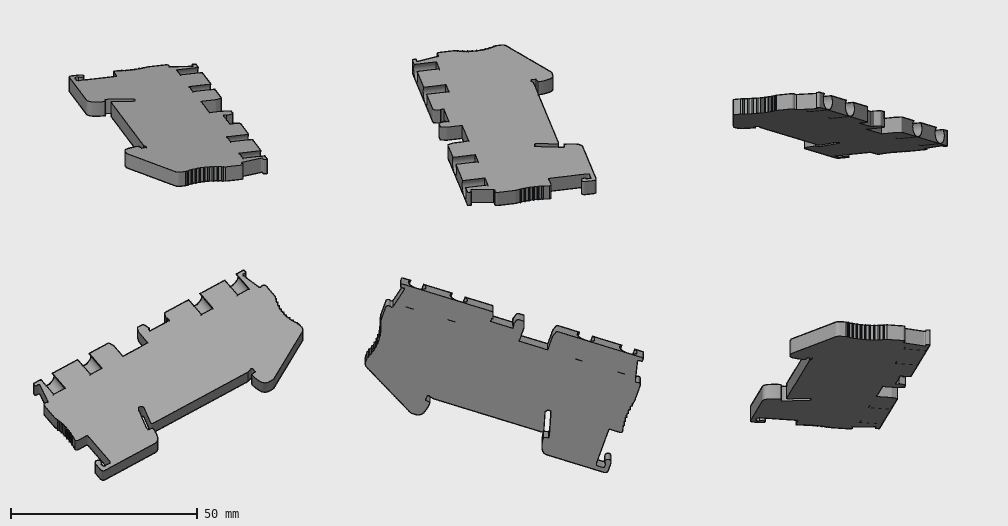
import cadquery as cq
import math

length = 72.2
height = 35.2
thickness = 4.2

mirror_x = 36.0
shoulder_y = 28.45
shoulder_radius = 0.7
latch_tip_x = 1.7
latch_underside_y = 34.15
latch_root_x = 3.0
latch_foot_x = 1.65
latch_foot_y = 28.1
dip_x = 1.3
dip_y = 27.8
latch_radius = 0.3
latch_tip_radius = 0.2
dip_radius = 0.15

wide_notch_left = 26.9
wide_notch_right = 35.0
wide_notch_floor = 29.3
flare_width = 0.6
flare_y = 33.6
flare_radius = 0.7
mouth_radius = 0.2

narrow_notch_left = 37.8
narrow_notch_right = 44.1
narrow_notch_floor = 32.35
snap_step = 0.35
snap_step_y = 33.2
snap_taper = 0.65
snap_radius = 0.6

rail_y = 5.9
foot_side_y = 3.3
foot_top_y = 4.6
left_foot_x = 19.8
right_foot_x = 52.0
foot_claw_y = 4.9
foot_lean = 17.0
foot_side_radius = 7.2
foot_radius = 2.0

recess_start_x = 51.6
recess_wall_x = 53.35
recess_top_y = 6.5
recess_radius = 0.3

slot_end_x = 20.95
slot_end_y = 11.8
slot_radius = 0.8
slot_slant = 15.0
slot_base_x = 18.5
slot_mouth_radius = 0.5

hook_x = 0.2
hook_neck_x = 1.5
hook_wall_x = 3.9
hook_floor_y = 1.3
hook_ball_x = 1.1
hook_ball_y = 3.2
hook_ball_radius = 0.9
ledge_y = 12.5
hook_heel_radius = 0.9
hook_floor_radius = 0.4
ledge_root_radius = 0.3
ledge_tip_radius = 0.65

ramp_start_x = 55.9
ramp_angle = 30.0
ramp_start_radius = 1.6
ramp_end_radius = 1.4

grip_y = 17.3
left_grip_depth = 0.7
left_grip_radius = 18.05
lip_y = 13.6
right_grip_depth = 1.4
right_grip_radius = 12.3
ridge_pitch = 1.2
ridge_height = 0.3
ridge_width = 0.4
left_ridges = range(-2, 4)
right_ridges = range(-4, 5)

groove_centers = (6.1, 18.05, 54.15, 65.9)
groove_length = 6.15
groove_radius = 2.45
groove_axis_depth = 1.65
groove_floor_thickness = 0.15


def rounded_outline(corners):
    """Closed outline through (x, y, radius) corners; radius 0 keeps a corner sharp."""
    outline = None
    for index, (x, y, radius) in enumerate(corners):
        before = corners[index - 1]
        after = corners[(index + 1) % len(corners)]
        corner = cq.Vector(x, y)
        to_before = (cq.Vector(before[0], before[1]) - corner).normalized()
        to_after = (cq.Vector(after[0], after[1]) - corner).normalized()
        half_angle = to_before.getAngle(to_after) / 2
        setback = radius / math.tan(half_angle)
        start = corner + to_before * setback
        if outline is None:
            outline = cq.Workplane("XY").moveTo(start.x, start.y)
        else:
            outline = outline.lineTo(start.x, start.y)
        if radius > 0:
            end = corner + to_after * setback
            bisector = (to_before + to_after).normalized()
            middle = corner + bisector * (radius / math.sin(half_angle) - radius)
            outline = outline.threePointArc((middle.x, middle.y), (end.x, end.y))
    return outline.close()


def mirrored(corners):
    """The same corners on the other half, listed in travel order."""
    return [(2 * mirror_x - x, y, radius) for x, y, radius in reversed(corners)]


def upper_left_corners():
    """Latch hook above the left shoulder, from the shoulder dip up."""
    return [
        (dip_x, dip_y, dip_radius),
        (latch_foot_x, latch_foot_y, 0),
        (latch_root_x, latch_underside_y, latch_radius),
        (latch_tip_x, latch_underside_y, latch_tip_radius),
        (latch_tip_x, height, latch_radius),
    ]


def upper_notch_corners():
    """Wide notch, post, and narrow notch with snap steps, from left to right."""
    left_snap_x = narrow_notch_left + snap_step
    right_snap_x = narrow_notch_right - snap_step
    return [
        (wide_notch_left - flare_width, height, mouth_radius),
        (wide_notch_left, flare_y, flare_radius),
        (wide_notch_left, wide_notch_floor, 0),
        (wide_notch_right, wide_notch_floor, 0),
        (wide_notch_right, flare_y, flare_radius),
        (wide_notch_right + flare_width, height, mouth_radius),
        (left_snap_x - snap_taper, height, snap_radius),
        (left_snap_x, snap_step_y, 0),
        (narrow_notch_left, snap_step_y, 0),
        (narrow_notch_left, narrow_notch_floor, 0),
        (narrow_notch_right, narrow_notch_floor, 0),
        (narrow_notch_right, snap_step_y, 0),
        (right_snap_x, snap_step_y, 0),
        (right_snap_x + snap_taper, height, snap_radius),
    ]


def lower_right_corners():
    """Ramp and right foot, from the right side to the rail edge."""
    ramp_end_y = (length - ramp_start_x) * math.tan(math.radians(ramp_angle))
    lean = math.tan(math.radians(foot_lean))
    return [
        (length, ramp_end_y, ramp_end_radius),
        (ramp_start_x, 0, ramp_start_radius),
        (right_foot_x + lean * foot_side_y, 0, foot_radius),
        (right_foot_x, foot_side_y, foot_side_radius),
        (right_foot_x, foot_top_y, 0),
        (recess_wall_x, foot_claw_y, 0),
        (recess_wall_x, recess_top_y, recess_radius),
        (recess_start_x, rail_y, 0),
    ]


def flex_slot_corners():
    """Slot sides from the rail edge up to the slot end and back, without the round end."""
    slant = math.radians(slot_slant)
    across = (slot_radius * math.cos(slant), -slot_radius * math.sin(slant))
    right_end = (slot_end_x + across[0], slot_end_y + across[1])
    left_end = (slot_end_x - across[0], slot_end_y - across[1])
    right_base_x = right_end[0] - (right_end[1] - rail_y) * math.tan(slant)
    left_base_y = left_end[1] - (left_end[0] - slot_base_x) / math.tan(slant)
    return [
        (right_base_x, rail_y, slot_mouth_radius),
        (right_end[0], right_end[1], 0),
        (left_end[0], left_end[1], 0),
        (slot_base_x, left_base_y, 0),
    ]


def lower_left_corners():
    """Left foot, hook recess and ledge, from the flex slot to the left side."""
    lean = math.tan(math.radians(foot_lean))
    return [
        (slot_base_x, foot_claw_y, 0),
        (left_foot_x, foot_top_y, 0),
        (left_foot_x, foot_side_y, foot_side_radius),
        (left_foot_x - lean * foot_side_y, 0, foot_radius),
        (hook_x, 0, hook_heel_radius),
        (hook_x, hook_ball_y, 0),
        (hook_neck_x, hook_ball_y, 0),
        (hook_neck_x, hook_floor_y, hook_floor_radius),
        (hook_wall_x, hook_floor_y, hook_floor_radius),
        (hook_wall_x, ledge_y, ledge_root_radius),
        (hook_x, ledge_y, ledge_tip_radius),
        (hook_x, lip_y, 0),
        (0, lip_y, 0),
    ]


def disc(x, y, radius):
    """Full-thickness cylinder standing at (x, y)."""
    return cq.Workplane("XY").center(x, y).circle(radius).extrude(thickness)


def add_grip(body, bottom_x, center_x, radius, ridges):
    """Hollow one end with a cylinder, then raise the ridges from the hollow."""
    outward = math.copysign(1, center_x - bottom_x)
    body = body.cut(disc(center_x, grip_y, radius))
    for step in ridges:
        offset = step * ridge_pitch
        surface_x = center_x - outward * math.sqrt(radius**2 - offset**2)
        ridge = (
            cq.Workplane("XY")
            .moveTo(surface_x + outward * ridge_height, grip_y + offset)
            .lineTo(surface_x - outward * ridge_height, grip_y + offset + ridge_width)
            .lineTo(surface_x - outward * ridge_height, grip_y + offset - ridge_width)
            .close()
            .extrude(thickness)
        )
        body = body.union(ridge)
    return body


def wire_groove(center_x):
    """Horizontal round channel with a flat floor, running in from the upper edge."""
    channel = (
        cq.Workplane("XZ", origin=(center_x, height, thickness - groove_axis_depth))
        .circle(groove_radius)
        .extrude(groove_length)
    )
    above_floor = (
        cq.Workplane("XY", origin=(center_x, height, groove_floor_thickness))
        .rect(2 * groove_radius, 2 * groove_length)
        .extrude(thickness)
    )
    return channel.intersect(above_floor)


outline = rounded_outline(
    [(0, shoulder_y, shoulder_radius)]
    + upper_left_corners()
    + upper_notch_corners()
    + mirrored(upper_left_corners())
    + [(length, shoulder_y, shoulder_radius)]
    + lower_right_corners()
    + flex_slot_corners()
    + lower_left_corners()
)
result = outline.extrude(thickness)
result = result.cut(disc(slot_end_x, slot_end_y, slot_radius))
result = result.union(disc(hook_ball_x, hook_ball_y, hook_ball_radius))

result = add_grip(result, left_grip_depth, left_grip_depth - left_grip_radius, left_grip_radius, left_ridges)
right_grip_x = length - right_grip_depth
result = add_grip(result, right_grip_x, right_grip_x + right_grip_radius, right_grip_radius, right_ridges)

for center_x in groove_centers:
    result = result.cut(wire_groove(center_x))